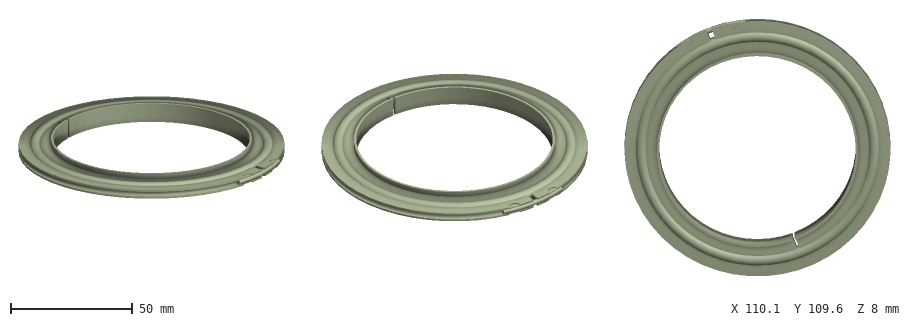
import cadquery as cq
import math

bore_radius = 40.5
lip_radius = 41.5
lip_height = 8.0
inner_slot_width = 1.0

seal_radius = 48.1
seal_section_radius = 2.8

web_thickness = 3.7
outer_radius = 54.8
outer_slot_width = 2.3

wire_section_radius = 1.05
clip_reach = 55.3
wire_radius = clip_reach - wire_section_radius
clip_half_angle = 16.0

recess_radius = 2.4
recess_depth = 0.4
recess_angle = 10.6

full_turn = 360
cut_margin = 1.1


def annulus(inner, outer, height):
    """Flat ring centred on the XY plane."""
    return cq.Workplane("XY").circle(outer).circle(inner).extrude(height / 2, both=True)


def round_ring(ring_radius, section_radius, sweep=full_turn):
    """Ring of round section about Z, starting on +X and turning towards +Y."""
    section = cq.Workplane("XZ").center(ring_radius, 0).circle(section_radius)
    return section.revolve(sweep, (-ring_radius, 0, 0), (-ring_radius, 1, 0))


def radial_slot(direction, width):
    """Cutter running from the axis out through one side along X."""
    centre_x = direction * outer_radius / 2
    return cq.Workplane("XY").center(centre_x, 0).box(outer_radius + cut_margin, width, lip_height)


def make_seal():
    return round_ring(seal_radius, seal_section_radius)


def make_inner_ring():
    lip = annulus(bore_radius, lip_radius, lip_height)
    web = annulus(bore_radius, seal_radius, web_thickness)
    ring = lip.union(web).cut(make_seal())
    return ring.cut(radial_slot(-1, inner_slot_width))


def make_rim_groove():
    """Round groove bottom that opens straight out to the rim."""
    opening = annulus(wire_radius, outer_radius, 2 * wire_section_radius)
    return round_ring(wire_radius, wire_section_radius).union(opening)


def make_outer_ring():
    ring = annulus(seal_radius, outer_radius, web_thickness)
    ring = ring.cut(make_seal()).cut(make_rim_groove())
    ring = ring.cut(radial_slot(1, outer_slot_width))
    recess_level = (web_thickness - recess_depth) / 2
    for side in (-1, 1):
        angle = math.radians(side * recess_angle)
        for face in (-1, 1):
            recess = (
                cq.Workplane("XY", origin=(0, 0, face * recess_level))
                .center(outer_radius * math.cos(angle), outer_radius * math.sin(angle))
                .circle(recess_radius)
                .extrude(recess_depth / 2, both=True)
            )
            ring = ring.cut(recess)
    return ring


def make_clip():
    arc = round_ring(wire_radius, wire_section_radius, 2 * clip_half_angle)
    return arc.rotate((0, 0, 0), (0, 0, 1), -clip_half_angle)


inner_ring = make_inner_ring()
seal = make_seal()
outer_ring = make_outer_ring()
clip = make_clip()

result = cq.Compound.makeCompound([inner_ring.val(), seal.val(), outer_ring.val(), clip.val()])